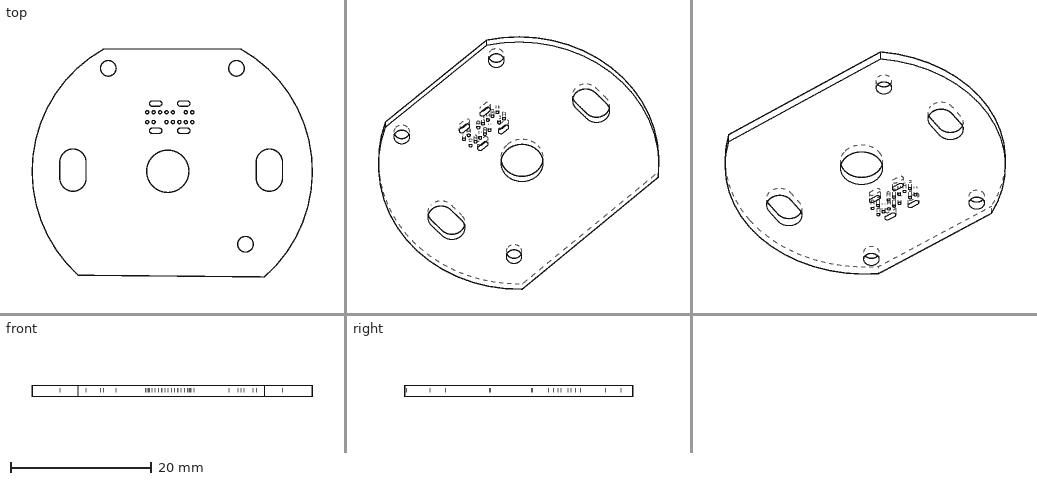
import cadquery as cq
import math

plate_diameter = 40.0
plate_thickness = 1.6
top_edge_y = 17.45
bottom_left_y = -14.85
bottom_right_y = -15.08

bore_diameter = 6.0
bore_x = -0.65
mount_diameter = 2.2
mount_centers = [(-9.1, 14.68), (9.15, 14.68), (10.45, -10.4)]

large_slot_length = 6.0
large_slot_width = 3.7
large_slot_spacing = 28.0
large_slot_x = -0.15
large_slot_y = 0.15

connector_x = -0.35
connector_y = 7.7
pin_diameter = 0.45
pin_pitch = 0.9
pin_row_spacing = 1.4
pin_positions = 8
upper_row_gap = 5
lower_row_gap = 2
shell_slot_length = 1.75
shell_slot_width = 0.7
shell_slot_spacing_x = 4.0
shell_slot_spacing_y = 3.88


def make_plate():
    radius = plate_diameter / 2
    top_half_width = math.sqrt(radius**2 - top_edge_y**2)
    bottom_left_x = -math.sqrt(radius**2 - bottom_left_y**2)
    bottom_right_x = math.sqrt(radius**2 - bottom_right_y**2)
    return (
        cq.Workplane("XY")
        .moveTo(-top_half_width, top_edge_y)
        .lineTo(top_half_width, top_edge_y)
        .threePointArc((radius, 0), (bottom_right_x, bottom_right_y))
        .lineTo(bottom_left_x, bottom_left_y)
        .threePointArc((-radius, 0), (-top_half_width, top_edge_y))
        .close()
        .extrude(plate_thickness)
    )


def round_cutter(centers, diameter):
    return cq.Workplane("XY").pushPoints(centers).circle(diameter / 2).extrude(plate_thickness)


def slot_cutter(centers, length, width, angle=0):
    return cq.Workplane("XY").pushPoints(centers).slot2D(length, width, angle).extrude(plate_thickness)


def pin_row(row_y, gap):
    """Centres of one row of pin holes, skipping the gap position."""
    first_x = connector_x - pin_pitch * (pin_positions - 1) / 2
    return [(first_x + i * pin_pitch, row_y) for i in range(pin_positions) if i != gap]


large_slot_centers = [
    (large_slot_x + side * large_slot_spacing / 2, large_slot_y)
    for side in (-1, 1)
]
upper_pins = pin_row(connector_y + pin_row_spacing / 2, upper_row_gap)
lower_pins = pin_row(connector_y - pin_row_spacing / 2, lower_row_gap)
shell_slot_centers = [
    (connector_x + i * shell_slot_spacing_x / 2, connector_y + j * shell_slot_spacing_y / 2)
    for i in (-1, 1)
    for j in (-1, 1)
]

result = (
    make_plate()
    .cut(round_cutter([(bore_x, 0)], bore_diameter))
    .cut(round_cutter(mount_centers, mount_diameter))
    .cut(slot_cutter(large_slot_centers, large_slot_length, large_slot_width, 90))
    .cut(round_cutter(upper_pins + lower_pins, pin_diameter))
    .cut(slot_cutter(shell_slot_centers, shell_slot_length, shell_slot_width))
)